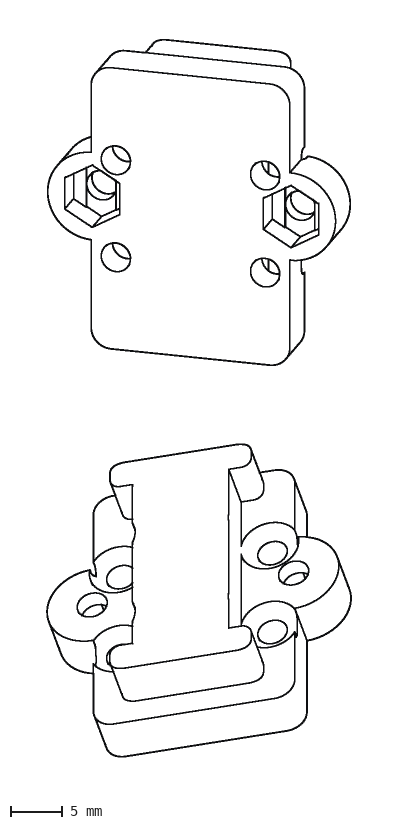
import cadquery as cq
import math

plate_x = -0.12
plate_width = 20.0
plate_height = 28.9
plate_thickness = 5.0
plate_corner_radius = 2.0

overall_width = 29.0
ear_radius = 4.5
ear_x = overall_width / 2 - ear_radius
ear_z = 1.05
ear_hole_diameter = 3.0

nut_across_flats = 5.55
nut_across_corners = nut_across_flats / math.cos(math.pi / 6)
nut_depth = 3.0
slot_width = ear_hole_diameter
slot_depth = 0.2

screw_x = 7.5
screw_z = 5.0
screw_hole_diameter = 2.93
head_diameter = 5.77
head_depth = 1.15
head_floor_radius = 0.67

boss_thickness = 5.02
boss_height = 26.07
arm_half_width = 7.02
arm_thickness = 3.0
arm_corner_radius = 1.02
web_half_width = 4.78
shoulder_x = 5.5
shoulder_radius = 2.32

overall_depth = plate_thickness + boss_thickness


def extrude_back(sketch, start_y, length):
    """Extrude a sketch from (x, z) coordinates toward +Y."""
    return (
        cq.Workplane("XZ", origin=(0, start_y, 0))
        .placeSketch(sketch)
        .extrude(-length)
    )


def cylinder(x, z, diameter, start_y, length):
    """Round bar along +Y."""
    return extrude_back(cq.Sketch().push([(x, z)]).circle(diameter / 2), start_y, length)


def plate():
    body = (
        cq.Workplane("XZ", origin=(plate_x, 0, 0))
        .rect(plate_width, plate_height)
        .extrude(-plate_thickness)
        .edges("|Y")
        .fillet(plate_corner_radius)
    )
    for side in (-1, 1):
        body = body.union(cylinder(side * ear_x, ear_z, 2 * ear_radius, 0, plate_thickness))
    return body


def arm():
    """Upper arm of the boss; each end turns from a wide shoulder into a tighter corner."""
    top = boss_height / 2
    bottom = top - arm_thickness
    corner_x = arm_half_width - arm_corner_radius
    center_gap = shoulder_radius - arm_corner_radius
    lean = math.asin((corner_x - shoulder_x) / center_gap)
    corner_z = top - shoulder_radius + center_gap * math.cos(lean)
    low_corner_z = bottom + arm_corner_radius

    def on_shoulder(angle):
        x = shoulder_x + shoulder_radius * math.sin(angle)
        z = top - shoulder_radius + shoulder_radius * math.cos(angle)
        return x, z

    def on_corner(center_z, angle):
        x = corner_x + arm_corner_radius * math.sin(angle)
        z = center_z + arm_corner_radius * math.cos(angle)
        return x, z

    quarter = math.pi / 2
    half = (
        cq.Workplane("XZ", origin=(0, plate_thickness, ear_z))
        .moveTo(0, top)
        .lineTo(shoulder_x, top)
        .threePointArc(on_shoulder(lean / 2), on_shoulder(lean))
        .threePointArc(on_corner(corner_z, (lean + quarter) / 2), on_corner(corner_z, quarter))
        .lineTo(arm_half_width, low_corner_z)
        .threePointArc(on_corner(low_corner_z, 1.5 * quarter), on_corner(low_corner_z, 2 * quarter))
        .lineTo(0, bottom)
        .close()
        .extrude(-boss_thickness)
    )
    return half.union(half.mirror("YZ"))


def boss():
    web_height = boss_height - arm_thickness
    web = (
        cq.Workplane("XZ", origin=(0, plate_thickness, ear_z))
        .rect(2 * web_half_width, web_height)
        .extrude(-boss_thickness)
    )
    upper_arm = arm()
    lower_arm = upper_arm.mirror("XY", (0, 0, ear_z))
    return web.union(upper_arm).union(lower_arm)


def nut_pocket(x):
    hexagon = cq.Sketch().regularPolygon(nut_across_corners / 2, 6)
    slot_band = cq.Sketch().rect(slot_width, nut_across_corners)
    pocket = extrude_back(hexagon, 0, nut_depth)
    slot = extrude_back(hexagon, 0, nut_depth + slot_depth).intersect(
        extrude_back(slot_band, 0, nut_depth + slot_depth)
    )
    hole = cylinder(0, 0, ear_hole_diameter, 0, plate_thickness)
    return pocket.union(slot).union(hole).translate((x, 0, ear_z))


def screw_hole(x, z):
    """Through hole plus the head recess, which also clears the side of the web."""
    recess_floor_y = plate_thickness - head_depth
    recess = (
        cylinder(x, z, head_diameter, recess_floor_y, overall_depth - recess_floor_y)
        .faces("<Y")
        .edges()
        .fillet(head_floor_radius)
    )
    return recess.union(cylinder(x, z, screw_hole_diameter, 0, plate_thickness))


result = plate().union(boss())
for side in (-1, 1):
    result = result.cut(nut_pocket(side * ear_x))
    for level in (-1, 1):
        result = result.cut(screw_hole(plate_x + side * screw_x, level * screw_z))